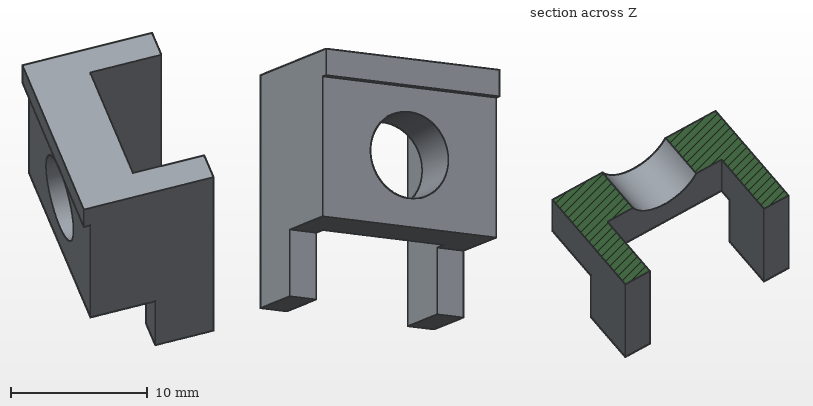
import cadquery as cq

width = 14.5
depth = 10.0
height = 17.5

wall_thickness = 2.2
web_back = 4.5

lip_height = 2.0
lip_overhang = 0.5

foot_height = 5.0
foot_depth = 4.5

hole_diameter = 6.5
hole_height = 10.4


def side_profile_body():
    """Extrude the stepped side outline across the full width."""
    lip_bottom = height - lip_height
    foot_front = depth - foot_depth
    outline = [
        (0, height),
        (depth, height),
        (depth, 0),
        (foot_front, 0),
        (foot_front, foot_height),
        (lip_overhang, foot_height),
        (lip_overhang, lip_bottom),
        (0, lip_bottom),
    ]
    return cq.Workplane("YZ").polyline(outline).close().extrude(width / 2, both=True)


def rear_channel():
    """Full-height space between the side walls, behind the web."""
    return cq.Workplane("XY").box(
        width - 2 * wall_thickness, depth - web_back, height, centered=(True, False, False)
    ).translate((0, web_back, 0))


def web_hole():
    """Horizontal cylinder running front to back through the web."""
    return (
        cq.Workplane("XZ")
        .center(0, hole_height)
        .circle(hole_diameter / 2)
        .extrude(-depth)
    )


result = side_profile_body().cut(rear_channel()).cut(web_hole())